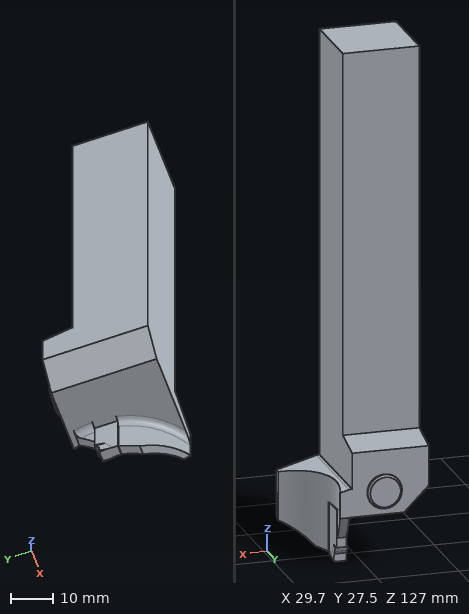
import cadquery as cq
import math

shank_size = 19.0
total_height = 127.0
head_width = 29.7
head_depth = 26.55
head_bottom = 13.4
heel_chamfer = 6.1
shoulder_angle = 15.0
side_shoulder_top = 20.5
back_shoulder_top = 31.5
ledge_width = 0.75
ledge_angle = 5.0

arc_center_y = 19.05
concave_radius = 21.35
concave_left = 20.65
convex_radius = 21.8
convex_left = 18.4
cove_radius = 1.8
blade_bottom = 1.05
blade_flat_start = 9.5
front_rise_angle = 30.0
blade_back = 25.0
clamp_tip_bottom = 6.3

insert_front = 14.25
insert_back = 20.05
neck_left = 18.4
neck_right = 20.85
bottom_relief = 0.25
rake_y = 18.9
rake_height = 2.0
rake_ramp_y = 19.6
rake_ramp_height = 2.9
tip_left = 18.05
tip_right = 21.2
tip_height = 3.9
tip_start_low = 15.2
tip_start_high = 17.6
tip_corner_chamfer = 0.3

screw_diameter = 8.5
screw_x = 11.0
screw_z = 19.2
screw_top = 27.45
screw_chamfer = 0.5

shoulder_slope = math.tan(math.radians(shoulder_angle))
ledge_slope = math.tan(math.radians(ledge_angle))
concave_center = (concave_left + concave_radius, arc_center_y)
convex_center = (convex_left + convex_radius, arc_center_y)


def extrude_along_y(points, depth):
    """Prism from Y = 0 to depth with an (X, Z) outline."""
    return cq.Workplane("XZ").polyline(points).close().extrude(-depth)


def extrude_along_x(points, width):
    """Prism from X = 0 to width with a (Y, Z) outline."""
    return cq.Workplane("YZ").polyline(points).close().extrude(width)


def make_shank_and_head():
    ledge_edge_x = shank_size + ledge_width
    ledge_edge_z = side_shoulder_top - ledge_width * ledge_slope
    side_drop = (head_width - ledge_edge_x) * shoulder_slope
    back_drop = (head_depth - shank_size) * shoulder_slope
    side_outline = [
        (heel_chamfer, head_bottom),
        (head_width, head_bottom),
        (head_width, ledge_edge_z - side_drop),
        (ledge_edge_x, ledge_edge_z),
        (shank_size, side_shoulder_top),
        (shank_size, total_height),
        (0, total_height),
        (0, head_bottom + heel_chamfer),
    ]
    back_outline = [
        (0, head_bottom),
        (head_depth, head_bottom),
        (head_depth, back_shoulder_top - back_drop),
        (shank_size, back_shoulder_top),
        (shank_size, total_height),
        (0, total_height),
    ]
    body = extrude_along_y(side_outline, head_depth)
    return body.intersect(extrude_along_x(back_outline, head_width))


def make_blade():
    """Part of a disc that flares into a cove under the head, trimmed to the blade's side outline."""
    cove_bottom = head_bottom - cove_radius
    cove_middle = cove_radius * (1 - math.sqrt(0.5))
    disc = (
        cq.Workplane("XZ")
        .lineTo(convex_radius, 0)
        .lineTo(convex_radius, cove_bottom)
        .threePointArc(
            (convex_radius + cove_middle, head_bottom - cove_middle),
            (convex_radius + cove_radius, head_bottom),
        )
        .lineTo(0, head_bottom)
        .close()
        .revolve(360, (0, 0), (0, 1))
        .translate((*convex_center, 0))
    )
    front_rise = blade_flat_start * math.tan(math.radians(front_rise_angle))
    outline = [
        (0, head_bottom),
        (0, blade_bottom + front_rise),
        (blade_flat_start, blade_bottom),
        (insert_back, blade_bottom),
        (insert_back, clamp_tip_bottom),
        (blade_back, head_bottom),
    ]
    return disc.intersect(extrude_along_x(outline, head_width))


def make_concave_cutter():
    """Cylinder that hollows the +X side of the head and the blade."""
    return (
        cq.Workplane("XY")
        .center(*concave_center)
        .circle(concave_radius)
        .extrude(back_shoulder_top)
    )


def make_insert_slot():
    slot_size = (head_width, insert_back - insert_front, head_bottom)
    return cq.Workplane("XY").box(*slot_size, centered=False).translate((0, insert_front, 0))


def make_screw_head():
    return (
        cq.Workplane("XZ", origin=(screw_x, head_depth, screw_z))
        .circle(screw_diameter / 2)
        .extrude(head_depth - screw_top)
        .faces(">Y")
        .chamfer(screw_chamfer)
    )


def make_holder():
    lower_part = make_blade().cut(make_insert_slot())
    body = make_shank_and_head().union(lower_part)
    hollowed_body = body.cut(make_concave_cutter())
    return hollowed_body.union(make_screw_head())


def tip_section(start_y, end_y):
    """(X, Y) trapezoid that widens from the neck at start_y to the full tip width at end_y."""
    return [(neck_left, start_y), (neck_right, start_y), (tip_right, end_y), (tip_left, end_y)]


def make_insert():
    outline = [
        (insert_front, head_bottom),
        (insert_front, bottom_relief),
        (rake_y, 0),
        (rake_y, rake_height),
        (rake_ramp_y, rake_ramp_height),
        (insert_back, tip_height),
        (insert_back, head_bottom),
    ]
    side_profile = extrude_along_x(outline, head_width)
    neck = (
        cq.Workplane("XY")
        .box(neck_right - neck_left, insert_back, head_bottom, centered=False)
        .translate((neck_left, 0, 0))
    )
    tip = (
        cq.Workplane("XY")
        .polyline(tip_section(tip_start_low, rake_y))
        .close()
        .workplane(offset=tip_height)
        .polyline(tip_section(tip_start_high, insert_back))
        .close()
        .loft(ruled=True)
    )
    tip_corners = [
        (tip_left, tip_height),
        (tip_left, tip_corner_chamfer),
        (tip_left + tip_corner_chamfer, 0),
        (tip_right - tip_corner_chamfer, 0),
        (tip_right, tip_corner_chamfer),
        (tip_right, tip_height),
    ]
    tip = tip.intersect(extrude_along_y(tip_corners, head_depth))
    return neck.union(tip).intersect(side_profile)


holder = make_holder()
insert = make_insert()
result = cq.Compound.makeCompound([holder.solids().val(), insert.solids().val()])